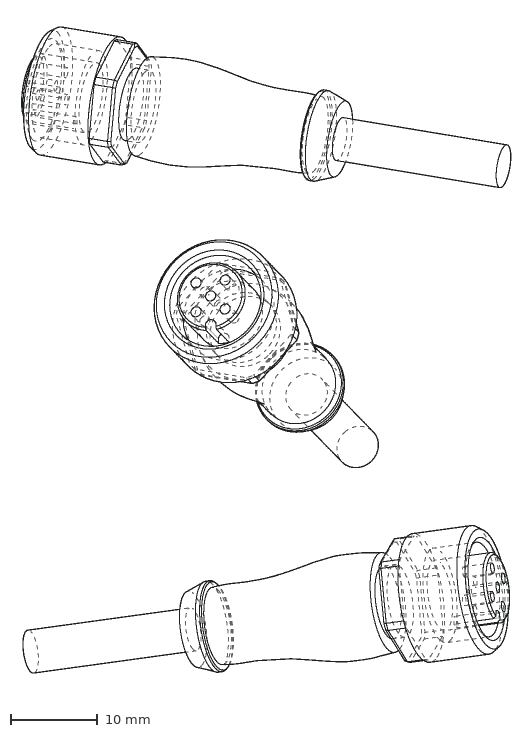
import cadquery as cq
import math

total_length = 57.7

insert_radius = 4.1
insert_chamfer = 0.3
contact_diameter = 1.2
contact_depth = 3.45
contact_circle_radius = 2.5
key_radius = 0.65
key_centre_radius = 3.5
key_depth = 5.2

nut_start = 1.4
nut_end = 9.45
nut_radius = 7.5
nut_chamfer_length = 0.8
nut_chamfer_height = 0.5
bore_radius = 11.0 / 2
bore_mouth_radius = 6.0
bore_mouth_depth = 0.49
bore_depth = 5.75

hex_end = 12.05
hex_apothem = 6.45
hex_corner_radius = 7.2
hex_turn = 15.0
hex_chamfer_length = 0.35
hex_chamfer_height = 0.2

neck_radius = 8.5 / 2
grip_start = 13.55
grip_end = 34.6
grip_sections = [
    (grip_start, 5.75, 5.8),
    (16.75, 6.1, 6.2),
    (20.8, 5.75, 6.0),
    (24.8, 5.0, 5.2),
    (28.85, 4.5, 4.7),
    (grip_end, 4.45, 4.5),
]
collar_end = 37.6
collar_radius = 5.3
collar_end_radius = 4.45
collar_edge_chamfer = 0.2
collar_rim_width = 0.7
cable_radius = 5.0 / 2


def section_plane(x):
    """Plane across the axis: local x is part Y, local y is part Z."""
    return cq.Workplane("YZ", origin=(x, 0, 0))


def cylinder(start, end, radius):
    return section_plane(start).circle(radius).extrude(end - start)


def revolve_profile(points):
    """Turn an (x, radius) outline about the X axis."""
    profile = cq.Workplane("XY").polyline(points).close()
    return profile.revolve(360, (0, 0, 0), (1, 0, 0))


def make_nut():
    bore_end = nut_start + bore_depth
    return revolve_profile([
        (nut_start, bore_mouth_radius),
        (nut_start, nut_radius - nut_chamfer_height),
        (nut_start + nut_chamfer_length, nut_radius),
        (nut_end, nut_radius),
        (nut_end, 0),
        (bore_end, 0),
        (bore_end, bore_radius),
        (nut_start + bore_mouth_depth, bore_radius),
    ])


def make_hex():
    across_corners = 2 * hex_apothem / math.cos(math.pi / 6)
    prism = (
        section_plane(nut_end)
        .transformed(rotate=(0, 0, hex_turn))
        .polygon(6, across_corners)
        .extrude(hex_end - nut_end)
    )
    turned_blank = cylinder(nut_end, hex_end, hex_corner_radius)
    rounded_hex = prism.intersect(turned_blank)
    return rounded_hex.faces(">X").chamfer(hex_chamfer_height, hex_chamfer_length)


def make_insert():
    insert = cylinder(0, nut_end, insert_radius).faces("<X").chamfer(insert_chamfer)
    contact_positions = [(0, 0)]
    for angle in (45, 135, 225, 315):
        turn = math.radians(angle)
        contact_positions.append((
            contact_circle_radius * math.cos(turn),
            contact_circle_radius * math.sin(turn),
        ))
    contacts = (
        section_plane(0)
        .pushPoints(contact_positions)
        .circle(contact_diameter / 2)
        .extrude(contact_depth)
    )
    key_slot = (
        section_plane(0)
        .moveTo(-key_radius, -key_centre_radius)
        .threePointArc((0, key_radius - key_centre_radius), (key_radius, -key_centre_radius))
        .lineTo(key_radius, -insert_radius)
        .lineTo(-key_radius, -insert_radius)
        .close()
        .extrude(key_depth)
    )
    return insert.cut(contacts).cut(key_slot)


def make_grip():
    wires = [
        section_plane(x).ellipse(half_width, half_height).wires().val()
        for x, half_width, half_height in grip_sections
    ]
    return cq.Workplane(cq.Solid.makeLoft(wires))


def make_collar():
    return revolve_profile([
        (grip_end, 0),
        (grip_end, collar_radius - collar_edge_chamfer),
        (grip_end + collar_edge_chamfer, collar_radius),
        (grip_end + collar_rim_width, collar_radius),
        (collar_end, collar_end_radius),
        (collar_end, 0),
    ])


result = (
    make_nut()
    .union(make_insert())
    .union(make_hex())
    .union(cylinder(hex_end, grip_start, neck_radius))
    .union(make_grip())
    .union(make_collar())
    .union(cylinder(collar_end, total_length, cable_radius))
)